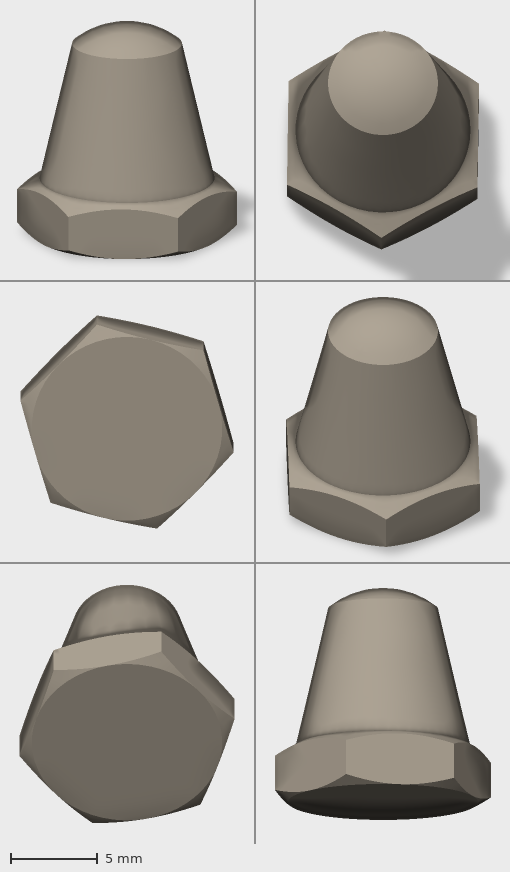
import cadquery as cq
import math

across_corners = 12.7
across_flats = across_corners * math.cos(math.radians(30))
base_height = 3.25
chamfer_angle = 30.0

body_bottom_radius = 5.05
body_top_radius = 3.18
body_top_z = 11.37
total_height = 12.5

corner_radius = across_corners / 2
flat_radius = across_flats / 2
chamfer_slope = math.tan(math.radians(chamfer_angle))


def make_base():
    """Hexagon with corners on Y, trimmed by a conical chamfer at both ends."""
    hexagon = (
        cq.Workplane("XY")
        .polygon(6, across_corners)
        .extrude(base_height)
        .rotate((0, 0, 0), (0, 0, 1), 90)
    )
    lower_corner_z = (corner_radius - flat_radius) * chamfer_slope
    upper_corner_z = base_height - (corner_radius - body_bottom_radius) * chamfer_slope
    envelope = (
        cq.Workplane("XZ")
        .polyline([
            (0, 0),
            (flat_radius, 0),
            (corner_radius, lower_corner_z),
            (corner_radius, upper_corner_z),
            (body_bottom_radius, base_height),
            (0, base_height),
        ])
        .close()
        .revolve(360, (0, 0, 0), (0, 1, 0))
    )
    return hexagon.intersect(envelope)


def make_body():
    """Tapered body closed by a spherical dome."""
    dome_height = total_height - body_top_z
    dome_radius = (body_top_radius**2 + dome_height**2) / (2 * dome_height)
    dome_center_z = total_height - dome_radius
    dome_mid_angle = math.asin(body_top_radius / dome_radius) / 2
    dome_mid_point = (
        dome_radius * math.sin(dome_mid_angle),
        dome_center_z + dome_radius * math.cos(dome_mid_angle),
    )
    return (
        cq.Workplane("XZ")
        .moveTo(0, base_height)
        .lineTo(body_bottom_radius, base_height)
        .lineTo(body_top_radius, body_top_z)
        .threePointArc(dome_mid_point, (0, total_height))
        .close()
        .revolve(360, (0, 0, 0), (0, 1, 0))
    )


result = make_base().union(make_body())